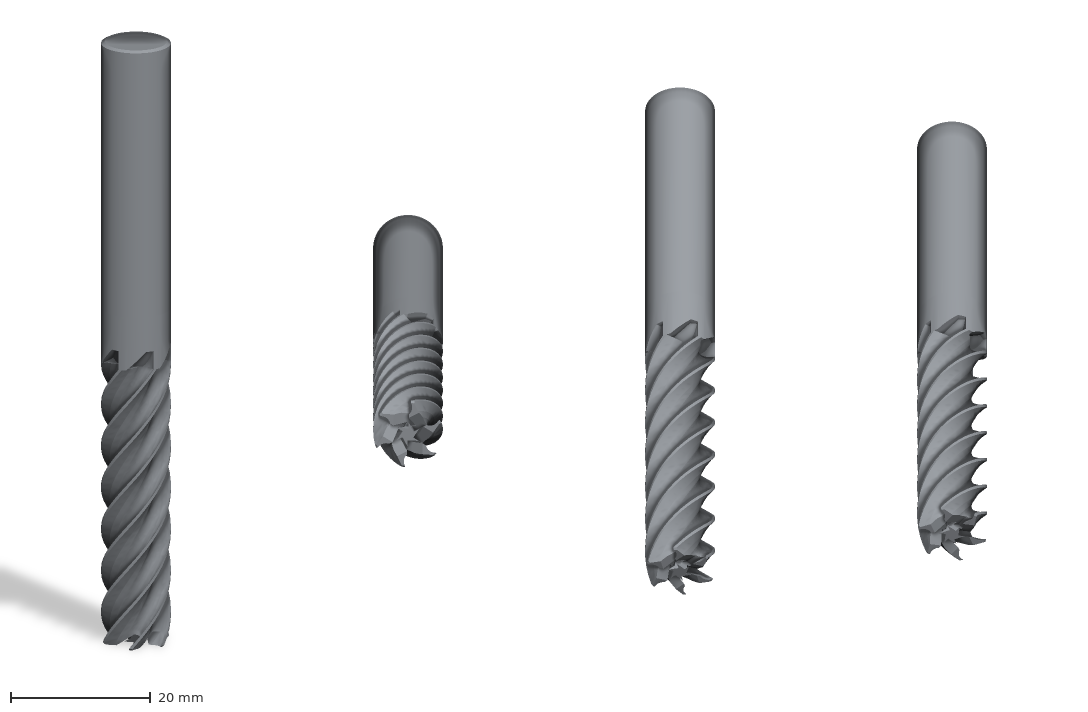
import cadquery as cq
import math

TOTAL_LENGTH = 90.0
DIAMETER = 10.0
RADIUS = DIAMETER / 2
SHANK_START = 50.0
FLUTED_LENGTH = 42.0

SHANK_CHAMFER = 0.5
SHANK_CHAMFER_HEIGHT = 0.3

FLUTE_COUNT = 6
FLUTE_PITCH_ANGLE = 360 / FLUTE_COUNT
HELIX_ANGLE = 40.0
HELIX_LEAD = math.pi * DIAMETER / math.tan(math.radians(HELIX_ANGLE))
EDGE_ANGLE_AT_NECK = -77.0
EDGE_ANGLES = [FLUTE_PITCH_ANGLE * index for index in range(FLUTE_COUNT)]

LAND_ANGLE = 6.0
RELIEF_END_ANGLE = 20.0
RELIEF_END_RADIUS = 3.8
FLOOR_START_ANGLE = 33.0
FLOOR_START_RADIUS = 3.15
FLOOR_ANGLE = 47.0
CORE_RADIUS = 2.8

RUNOUT_OPENING_ANGLE = 47.0
RUNOUT_HEIGHT = 2.8
RUNOUT_TOP_WIDTH = 1.1
RUNOUT_TOP_DEPTH = 0.9

CORNER_CHAMFER = 0.3
GASH_HEIGHT = 1.8
GASH_TOP_WIDTH = 1.1
GASH_WIDTH = 2.2
GASH_INNER_RADIUS = 0.9


def polar(radius, angle):
    """Point at a radius and an angle in degrees."""
    turn = math.radians(angle)
    return radius * math.cos(turn), radius * math.sin(turn)


def twist_over(height):
    """Degrees that the right-hand helix turns over a height."""
    return 360 * height / HELIX_LEAD


EDGE_ANGLE_AT_END = EDGE_ANGLE_AT_NECK - twist_over(FLUTED_LENGTH)


def tooth_section():
    """Cross-section of all the teeth, with the first cutting edge at angle zero."""
    section = cq.Workplane("XY").moveTo(*polar(RADIUS, 0))
    for edge in EDGE_ANGLES:
        section = section.threePointArc(
            polar(RADIUS, edge + LAND_ANGLE / 2), polar(RADIUS, edge + LAND_ANGLE)
        )
        section = section.lineTo(*polar(RELIEF_END_RADIUS, edge + RELIEF_END_ANGLE))
        section = section.lineTo(*polar(FLOOR_START_RADIUS, edge + FLOOR_START_ANGLE))
        section = section.threePointArc(
            polar(CORE_RADIUS, edge + FLOOR_ANGLE), polar(RADIUS, edge + FLUTE_PITCH_ANGLE)
        )
    return section.close()


def flute_runout(edge):
    """Upper end of one flute: a pocket with a sloping floor, below a roof that rises to the cutting edge."""
    half_opening = RUNOUT_OPENING_ANGLE / 2
    deepest_angle = half_opening - (FLUTE_PITCH_ANGLE - FLOOR_ANGLE)
    half_width = RADIUS * math.sin(math.radians(half_opening))
    hollow = (
        cq.Workplane("XY")
        .moveTo(*polar(RADIUS, -half_opening))
        .threePointArc(polar(CORE_RADIUS, deepest_angle), polar(RADIUS, half_opening))
        .lineTo(DIAMETER, half_width)
        .lineTo(DIAMETER, -half_width)
        .close()
        .extrude(RUNOUT_HEIGHT)
    )
    under_roof = (
        cq.Workplane("YZ")
        .moveTo(-half_width, 0)
        .lineTo(half_width - RUNOUT_TOP_WIDTH, RUNOUT_HEIGHT)
        .lineTo(half_width, RUNOUT_HEIGHT)
        .lineTo(half_width, 0)
        .close()
        .extrude(DIAMETER)
    )
    above_floor = (
        cq.Workplane("XZ")
        .moveTo(CORE_RADIUS, 0)
        .lineTo(RADIUS - RUNOUT_TOP_DEPTH, RUNOUT_HEIGHT)
        .lineTo(DIAMETER, RUNOUT_HEIGHT)
        .lineTo(DIAMETER, 0)
        .close()
        .extrude(DIAMETER, both=True)
    )
    runout = hollow.intersect(under_roof).intersect(above_floor).translate((0, 0, FLUTED_LENGTH))
    return runout.rotate((0, 0, 0), (0, 0, 1), EDGE_ANGLE_AT_NECK - half_opening + edge)


def end_gash(edge):
    """Notch in the end face, with one wall leaning along the helix ahead of one cutting edge."""
    lean = GASH_HEIGHT * math.tan(math.radians(HELIX_ANGLE))
    gash = (
        cq.Workplane("YZ", origin=(GASH_INNER_RADIUS, 0, 0))
        .polyline([(0, 0), (lean, GASH_HEIGHT), (lean - GASH_TOP_WIDTH, GASH_HEIGHT), (-GASH_WIDTH, 0)])
        .close()
        .extrude(DIAMETER)
    )
    return gash.rotate((0, 0, 0), (0, 0, 1), EDGE_ANGLE_AT_END + edge)


def corner_ring():
    """Ring that chamfers the outer corners of the teeth at the cutting end."""
    ring_outside = DIAMETER
    ring_height = ring_outside - (RADIUS - CORNER_CHAMFER)
    return (
        cq.Workplane("XZ")
        .polyline([(RADIUS - CORNER_CHAMFER, 0), (ring_outside, 0), (ring_outside, ring_height)])
        .close()
        .revolve(360, (0, 0, 0), (0, 1, 0))
    )


def make_shank():
    """Plain round shank with a chamfered top."""
    return (
        cq.Workplane("XY", origin=(0, 0, SHANK_START))
        .circle(RADIUS)
        .extrude(TOTAL_LENGTH - SHANK_START)
        .faces(">Z")
        .chamfer(SHANK_CHAMFER_HEIGHT, SHANK_CHAMFER)
    )


def make_cutting_head():
    """Helical teeth with a round neck above them."""
    teeth = tooth_section().twistExtrude(FLUTED_LENGTH, twist_over(FLUTED_LENGTH))
    teeth = teeth.rotate((0, 0, 0), (0, 0, 1), EDGE_ANGLE_AT_END)
    end_cutter = corner_ring()
    neck_height = SHANK_START - FLUTED_LENGTH
    neck = cq.Workplane("XY", origin=(0, 0, FLUTED_LENGTH)).circle(RADIUS).extrude(neck_height)
    for edge in EDGE_ANGLES:
        neck = neck.cut(flute_runout(edge))
        end_cutter = end_cutter.union(end_gash(edge))
    return teeth.cut(end_cutter).union(neck)


shank = make_shank()
cutting_head = make_cutting_head()
result = cq.Compound.makeCompound([shank.val(), cutting_head.val()])